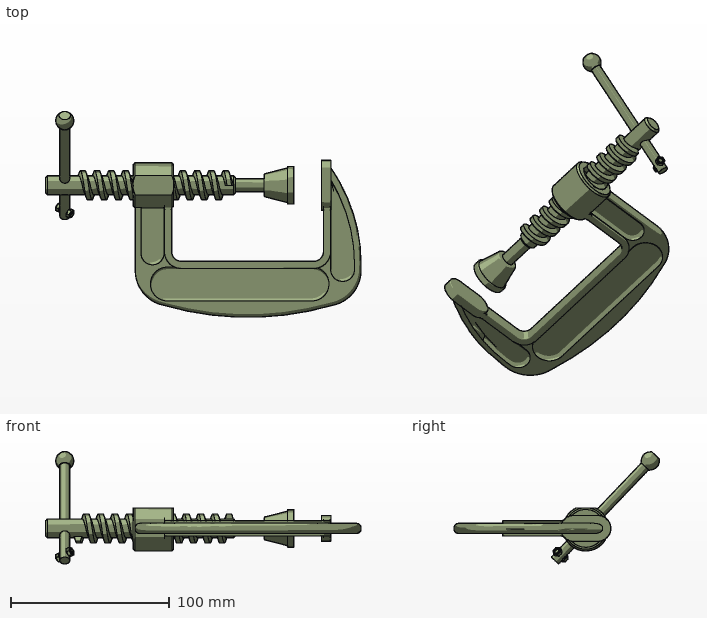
import cadquery as cq
import math


shaft_radius = 6.0
shaft_length = 119.8
shaft_chamfer = 1.3
neck_radius = 4.2
thread_crest_radius = 9.2
thread_pitch = 9.0
thread_start = 20.5
thread_lead_in = 30.0
thread_turns = 10.5 + thread_lead_in / 360
thread_root_width = 5.1
thread_crest_width = 2.9
thread_embed = 0.5

handle_x = 12.25
handle_tilt = 46.3
bar_radius = 3.175
bar_tail = 28.0
knob_center = 58.75
knob_radius = 5.75
knob_half_length = 4.8
knob_round_half_length = 4.0
knob_flat_radius = 3.6

stop_distance = 22.9
stop_turn = 39.0
stop_shank_radius = 1.5
stop_hex_width = 5.0
stop_head_height = 2.5
stop_recess_depth = 1.0
stop_chamfer = 0.4

foot_start = 137.7
foot_length = 18.7
foot_small_radius = 7.2
foot_cone_end_radius = 11.0
foot_rim_radius = 11.9
foot_rim_width = 4.0
foot_rim_fillet = 0.4
foot_small_fillet = 1.0
foot_socket_depth = 10.0

frame_thickness = 6.5
frame_left = 56.5
frame_right = 198.72
frame_bottom = -83.12
corner_start_y = -53.5
corner_inset = 18.5
corner_end_y = -75.7
corner_radius = 22.6
arm_start_y = -49.7
arm_radius = 105.8
arm_center_x = frame_right - arm_radius
outer_fillet = 3.0

opening_left = 79.55
opening_right = 174.9
opening_bottom = -47.75
opening_radius = 6.0
rib_width = 4.6
rib_thickness = 9.7
rib_fillet = 0.5
rib_root_fillet = 3.0

web_thickness = 1.6
pocket_fillet = 2.4
left_pocket_left = 60.2
left_pocket_right = 74.7
left_pocket_straight_end = -42.8
lower_pocket_y = -62.1
lower_pocket_radius = 10.65
lower_pocket_left_center = 76.8
lower_pocket_right_center = 167.8
right_pocket_straight_end = -53.0
right_pocket_margin = 4.2

boss_radius = 14.25
boss_start = 55.3
boss_length = 25.5
boss_flat_height = 12.9
boss_chamfer = 1.2
anvil_start = 173.6
anvil_thickness = 6.2
anvil_back = anvil_start + anvil_thickness
anvil_half_height = 15.85
anvil_half_width = 8.2
anvil_fillet = 0.6


def x_cylinder(radius, start, length):
    return cq.Workplane("YZ").workplane(offset=start).circle(radius).extrude(length)



def place_on_handle(solid):
    """Moves a solid built along Z, with X across it, onto the tilted handle axis."""
    return solid.rotate((0, 0, 0), (1, 0, 0), handle_tilt - 90).translate((handle_x, 0, 0))


def make_bar():
    round_end_radius = math.sqrt(knob_radius**2 - knob_round_half_length**2)
    knob_top = knob_center + knob_half_length
    knob_base = knob_center - knob_half_length
    round_top = knob_center + knob_round_half_length
    round_base = knob_center - knob_round_half_length
    profile = (
        cq.Workplane("XZ")
        .moveTo(0, -bar_tail)
        .lineTo(bar_radius, -bar_tail)
        .lineTo(bar_radius, knob_base)
        .lineTo(knob_flat_radius, knob_base)
        .lineTo(round_end_radius, round_base)
        .threePointArc((knob_radius, knob_center), (round_end_radius, round_top))
        .lineTo(knob_flat_radius, knob_top)
        .lineTo(0, knob_top)
        .close()
    )
    return place_on_handle(profile.revolve(360, (0, 0, 0), (0, 1, 0)))



def place_stop(solid):
    """Moves a stop part built along X to its place across the handle."""
    turned = solid.rotate((0, 0, 0), (0, 0, 1), -stop_turn)
    return place_on_handle(turned.translate((0, 0, -stop_distance)))


def make_hex_head():
    """A hexagon on the +X side of the bar, chamfered round its outer face."""
    across_corners = stop_hex_width / math.cos(math.pi / 6)
    base = cq.Workplane("YZ").workplane(offset=bar_radius)
    prism = base.polygon(6, across_corners).extrude(stop_head_height)
    corners_along_bar = prism.rotate((0, 0, 0), (1, 0, 0), 90)
    return corners_along_bar.faces(">X").chamfer(stop_chamfer)


stop_reach = bar_radius + stop_head_height
stop_recess_floor = stop_reach - stop_recess_depth
stop_recess = x_cylinder(stop_shank_radius, stop_recess_floor, stop_recess_depth)
stop_shank = x_cylinder(stop_shank_radius, -stop_recess_floor, 2 * stop_recess_floor)
stop_bore = x_cylinder(stop_shank_radius, -stop_reach, 2 * stop_reach)

bolt = place_stop(make_hex_head().cut(stop_recess).union(stop_shank))
nut = place_stop(make_hex_head().mirror("YZ").cut(stop_bore))

bar = make_bar()
handle = bar.cut(place_stop(stop_bore))



def make_thread():
    path = cq.Wire.makeHelix(thread_pitch, thread_pitch * thread_turns, shaft_radius)
    crest_half = thread_crest_width / 2
    flank_slope = (thread_root_width - thread_crest_width) / 2 / (thread_crest_radius - shaft_radius)
    root_half = thread_root_width / 2 + flank_slope * thread_embed
    root_radius = shaft_radius - thread_embed
    profile = (
        cq.Workplane("XZ")
        .moveTo(root_radius, -root_half)
        .lineTo(thread_crest_radius, -crest_half)
        .lineTo(thread_crest_radius, crest_half)
        .lineTo(root_radius, root_half)
        .close()
    )
    thread = profile.sweep(cq.Workplane(obj=path), isFrenet=True)
    along_x = thread.rotate((0, 0, 0), (0, 1, 0), 90)
    return along_x.rotate((0, 0, 0), (1, 0, 0), -thread_lead_in).translate((thread_start, 0, 0))


def make_screw():
    shaft = x_cylinder(shaft_radius, 0, shaft_length).faces("<X or >X").chamfer(shaft_chamfer)
    neck = x_cylinder(neck_radius, shaft_length, foot_start + foot_socket_depth - shaft_length)
    return shaft.union(neck).union(make_thread()).cut(bar)


screw = make_screw()



def make_foot():
    cone_length = foot_length - foot_rim_width
    cone = (
        cq.Workplane("XY")
        .lineTo(0, foot_small_radius)
        .lineTo(cone_length, foot_cone_end_radius)
        .lineTo(cone_length, 0)
        .close()
        .revolve(360, (0, 0, 0), (1, 0, 0))
        .faces("<X")
        .edges()
        .fillet(foot_small_fillet)
    )
    rim = x_cylinder(foot_rim_radius, cone_length, foot_rim_width)
    rounded_rim = rim.faces("<X or >X").edges().fillet(foot_rim_fillet)
    solid = cone.union(rounded_rim).translate((foot_start, 0, 0))
    return solid.cut(x_cylinder(neck_radius, foot_start, foot_socket_depth))


foot = make_foot()



def slab(sketch, thickness):
    """Extrudes an XY sketch to equal depth on both sides of the XY plane."""
    return sketch.extrude(thickness / 2, both=True)


def arm_point(radius, x):
    """The point at a given X on a circle about the arm's center."""
    return (x, arm_start_y + math.sqrt(radius**2 - (x - arm_center_x) ** 2))


def arm_middle(radius, x):
    """The point halfway along the arc from the start of the arm to a given X."""
    half_angle = math.acos((x - arm_center_x) / radius) / 2
    return (arm_center_x + radius * math.cos(half_angle), arm_start_y + radius * math.sin(half_angle))


def opening_sketch(grow, top):
    """The outline of the opening, grown outwards by an offset and closed at a given Y."""
    left = opening_left - grow
    right = opening_right + grow
    bottom = opening_bottom - grow
    radius = opening_radius + grow
    return (
        cq.Workplane("XY")
        .moveTo(left, top)
        .lineTo(left, bottom + radius)
        .radiusArc((left + radius, bottom), -radius)
        .lineTo(right - radius, bottom)
        .radiusArc((right, bottom + radius), -radius)
        .lineTo(right, top)
        .close()
    )


def make_plate():
    left_corner = frame_left + corner_inset
    right_corner = frame_right - corner_inset
    bottom_middle = ((frame_left + frame_right) / 2, frame_bottom)
    outline = (
        cq.Workplane("XY")
        .moveTo(frame_left, 0)
        .lineTo(frame_left, corner_start_y)
        .radiusArc((left_corner, corner_end_y), -corner_radius)
        .threePointArc(bottom_middle, (right_corner, corner_end_y))
        .radiusArc((frame_right, corner_start_y), -corner_radius)
        .lineTo(frame_right, arm_start_y)
        .threePointArc(arm_middle(arm_radius, anvil_back), arm_point(arm_radius, anvil_back))
        .close()
    )
    plate = slab(outline, frame_thickness).faces("|Z").edges().fillet(outer_fillet)
    opening = slab(opening_sketch(0, boss_radius), frame_thickness)
    return plate.cut(opening)


def make_rib():
    outside = slab(opening_sketch(rib_width, 0), rib_thickness)
    inside = slab(opening_sketch(0, 0), rib_thickness)
    return outside.cut(inside).faces("|Z").edges().fillet(rib_fillet)


def make_rib_root(start, round_radius, round_y):
    """Concave blends, on both faces, from the rib up to a round of given radius and center Y."""
    rib_top = rib_thickness / 2
    blend_z = rib_top + rib_root_fillet
    reach = round_radius + rib_root_fillet
    blend_y = -math.sqrt(reach**2 - blend_z**2)
    touch = round_radius / reach
    corner_y = -math.sqrt(round_radius**2 - rib_top**2)
    blend = (
        cq.Workplane("YZ", origin=(start, round_y, 0))
        .moveTo(blend_y, rib_top)
        .radiusArc((blend_y * touch, blend_z * touch), -rib_root_fillet)
        .lineTo(corner_y, rib_top - rib_fillet)
        .lineTo(blend_y, rib_top - rib_fillet)
        .close()
        .extrude(rib_width)
    )
    return blend.union(blend.mirror("XY"))


def make_pocket(sketch):
    cutter = sketch.extrude(frame_thickness).faces("<Z").edges().fillet(pocket_fillet)
    upper = cutter.translate((0, 0, web_thickness / 2))
    return upper.union(upper.mirror("XY"))


def left_pocket_sketch():
    end_radius = (left_pocket_right - left_pocket_left) / 2
    return (
        cq.Workplane("XY")
        .moveTo(left_pocket_left, 0)
        .lineTo(left_pocket_left, left_pocket_straight_end)
        .radiusArc((left_pocket_right, left_pocket_straight_end), -end_radius)
        .lineTo(left_pocket_right, 0)
        .close()
    )


def lower_pocket_sketch():
    span = lower_pocket_right_center - lower_pocket_left_center
    middle_x = (lower_pocket_left_center + lower_pocket_right_center) / 2
    slot_length = span + 2 * lower_pocket_radius
    return cq.Workplane("XY").center(middle_x, lower_pocket_y).slot2D(slot_length, 2 * lower_pocket_radius)


def right_pocket_sketch():
    left = opening_right + rib_width
    right = frame_right - right_pocket_margin
    side_radius = arm_radius - right_pocket_margin
    tip = arm_point(side_radius, left)
    return (
        cq.Workplane("XY")
        .moveTo(*tip)
        .lineTo(left, right_pocket_straight_end)
        .radiusArc((right, right_pocket_straight_end), -(right - left) / 2)
        .lineTo(right, arm_start_y)
        .threePointArc(arm_middle(side_radius, left), tip)
        .close()
    )


def make_boss():
    boss = x_cylinder(boss_radius, boss_start, boss_length).faces("<X or >X").chamfer(boss_chamfer)
    above_flat = (
        cq.Workplane("XY", origin=(boss_start + boss_length / 2, 0, boss_flat_height))
        .rect(boss_length, 2 * boss_radius)
        .extrude(boss_radius - boss_flat_height)
    )
    return boss.cut(above_flat)


def make_anvil():
    return (
        cq.Workplane("YZ", origin=(anvil_start, 0, 0))
        .slot2D(2 * anvil_half_height, 2 * anvil_half_width)
        .extrude(anvil_thickness)
        .faces("<X or >X")
        .edges()
        .fillet(anvil_fillet)
    )


def make_frame():
    body = make_plate()
    for sketch in (left_pocket_sketch(), lower_pocket_sketch(), right_pocket_sketch()):
        body = body.cut(make_pocket(sketch))
    boss_root = make_rib_root(opening_left - rib_width, boss_radius, 0)
    anvil_root = make_rib_root(opening_right, anvil_half_width, anvil_half_width - anvil_half_height)
    for feature in (make_rib(), boss_root, anvil_root, make_boss(), make_anvil()):
        body = body.union(feature)
    return body.cut(x_cylinder(thread_crest_radius, boss_start, boss_length))


frame = make_frame()

result = cq.Compound.makeCompound(
    [frame.val(), screw.val(), handle.val(), bolt.val(), nut.val(), foot.val()]
)